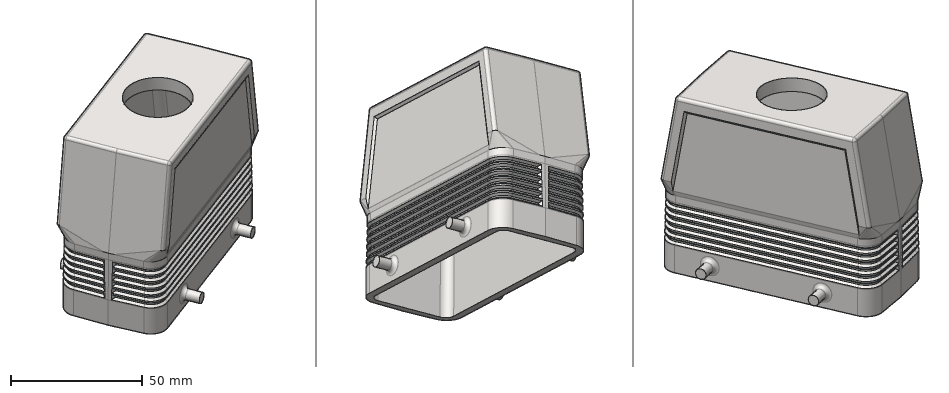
import cadquery as cq
import math

total_height = 76.0
base_height = 33.1
base_half_width = 21.5
base_half_length = 46.75
base_draft = 0.33
base_corner_radius = 7.0
base_end_slope = 0.035

rib_bottom = 11.8
rib_pitch = 3.0
groove_count = 6
groove_depth = 1.0
crest_height = 0.7
groove_floor_height = 0.7
rib_top = rib_bottom + groove_count * rib_pitch + crest_height / 2
flank_height = (rib_pitch - crest_height - groove_floor_height) / 2
spine_half_width = 1.3
spine_root_depth = 1.9

hood_half_width = 22.5
hood_bottom_half_length = 46.4
hood_top_half_length = 38.9
hood_end_slope = 0.015
hood_edge_radius = 1.4
flare_top = 39.3
flare_half_length = 45.7

panel_depth = 0.9
panel_top = 70.9
panel_top_half_length = 34.6
panel_bevel = 1.0

entry_diameter = 26.9
roof_thickness = 5.8
wall_thickness = 3.3
cavity_corner_radius = 3.7

pin_tip = 29.0
pin_radius = 2.2
pin_root_radius = 4.0
pin_flare = pin_root_radius - pin_radius
pin_height = 6.45
pin_half_spacing = 24.1

hood_taper = (hood_bottom_half_length - hood_top_half_length) / (total_height - base_height)


def outline(half_width, half_length, end_slope, radius=0):
    """Plan outline with peaked ends; half_length is measured on the centre line."""
    corner_y = half_length - end_slope * half_width
    points = [
        (half_width, -corner_y),
        (half_width, corner_y),
        (0, half_length),
        (-half_width, corner_y),
        (-half_width, -corner_y),
        (0, -half_length),
        (half_width, -corner_y),
    ]
    sketch = cq.Sketch().polygon(points)
    if radius:
        sketch = sketch.vertices(">X or <X").fillet(radius)
    return sketch.reset()


def base_outline(z, inset=0):
    rib_fraction = min(max((z - rib_bottom) / (rib_top - rib_bottom), 0), 1)
    shift = base_draft * rib_fraction + inset
    return outline(
        base_half_width - shift, base_half_length - shift, base_end_slope, base_corner_radius - inset
    )


def loft_between(lower, z_lower, upper, z_upper):
    raised = upper.moved(cq.Location(cq.Vector(0, 0, z_upper - z_lower)))
    return cq.Workplane("XY").workplane(offset=z_lower).placeSketch(lower, raised).loft(ruled=True)


def base_slab(z_lower, z_upper, inset_lower=0, inset_upper=0):
    return loft_between(
        base_outline(z_lower, inset_lower), z_lower, base_outline(z_upper, inset_upper), z_upper
    )


def make_base():
    first_groove = rib_bottom + crest_height / 2
    base = base_slab(0, rib_bottom)
    base = base.union(base_slab(rib_bottom, first_groove))
    for i in range(groove_count):
        groove_bottom = first_groove + i * rib_pitch
        floor_bottom = groove_bottom + flank_height
        floor_top = floor_bottom + groove_floor_height
        groove_top = floor_top + flank_height
        crest_top = groove_top + crest_height
        base = base.union(base_slab(groove_bottom, floor_bottom, 0, groove_depth))
        base = base.union(base_slab(floor_bottom, floor_top, groove_depth, groove_depth))
        base = base.union(base_slab(floor_top, groove_top, groove_depth, 0))
        base = base.union(base_slab(groove_top, crest_top))
    base = base.union(base_slab(rib_top, base_height))
    return base.union(make_spines())


def make_spines():
    """Upright strips on both ends, with 45 degree sides."""
    root_y = base_half_length - spine_root_depth
    root_half_width = spine_half_width + spine_root_depth
    spine = (
        cq.Workplane("XY")
        .workplane(offset=rib_bottom)
        .polyline(
            [
                (-root_half_width, root_y),
                (-spine_half_width, base_half_length),
                (spine_half_width, base_half_length),
                (root_half_width, root_y),
            ]
        )
        .close()
        .extrude(rib_top - rib_bottom)
    )
    return spine.union(spine.mirror("XZ")).intersect(base_slab(rib_bottom, rib_top))


def make_hood():
    bottom = outline(hood_half_width, hood_bottom_half_length, hood_end_slope)
    top = outline(hood_half_width, hood_top_half_length, hood_end_slope)
    hood = loft_between(bottom, base_height, top, total_height)
    hood = hood.edges(">Z or ((>X or <X) and (not |Y))").fillet(hood_edge_radius)

    flare = loft_between(
        base_outline(base_height),
        base_height,
        outline(hood_half_width, flare_half_length, base_end_slope, hood_edge_radius),
        flare_top,
    )
    above_flare = (
        cq.Workplane("XY")
        .workplane(offset=flare_top)
        .rect(2 * hood_half_width, 2 * base_half_length)
        .extrude(total_height - flare_top)
    )
    return hood.intersect(flare).union(hood.intersect(above_flare))


def panel_profile(x, inset):
    """Trapezoid parallel to the hood ends, reaching down into the flare."""
    top_z = panel_top - inset
    top_y = panel_top_half_length - inset * (1 - hood_taper)
    bottom_y = top_y + hood_taper * (top_z - base_height)
    return (
        cq.Workplane("YZ", origin=(x, 0, 0))
        .polyline([(-top_y, top_z), (top_y, top_z), (bottom_y, base_height), (-bottom_y, base_height)])
        .close()
        .wires()
        .val()
    )


def make_panel_recesses():
    face = panel_profile(hood_half_width, 0)
    floor = panel_profile(hood_half_width - panel_depth, panel_bevel)
    recess = cq.Workplane(cq.Solid.makeLoft([face, floor], True))
    return recess.union(recess.mirror("YZ"))


def make_cavity():
    half_width = base_half_width - wall_thickness
    bottom_y = base_half_length - wall_thickness
    ceiling = total_height - roof_thickness
    shoulder_y = hood_bottom_half_length - wall_thickness
    ceiling_y = shoulder_y - hood_taper * (ceiling - base_height)
    return (
        cq.Workplane("YZ", origin=(-half_width, 0, 0))
        .polyline(
            [
                (-bottom_y, 0),
                (bottom_y, 0),
                (shoulder_y, base_height),
                (ceiling_y, ceiling),
                (-ceiling_y, ceiling),
                (-shoulder_y, base_height),
            ]
        )
        .close()
        .extrude(2 * half_width)
        .edges("(<X or >X) and (not |Y)")
        .fillet(cavity_corner_radius)
    )


def make_pin():
    """Round pin along +X whose root flares into the base wall."""
    root_x = base_half_width - wall_thickness / 2
    arc_step = pin_flare * (1 - math.sqrt(0.5))
    return (
        cq.Workplane("XY")
        .moveTo(root_x, 0)
        .lineTo(root_x, pin_root_radius)
        .lineTo(base_half_width, pin_root_radius)
        .threePointArc(
            (base_half_width + arc_step, pin_radius + arc_step),
            (base_half_width + pin_flare, pin_radius),
        )
        .lineTo(pin_tip, pin_radius)
        .lineTo(pin_tip, 0)
        .close()
        .revolve(360, (0, 0, 0), (1, 0, 0))
    )


body = make_base().union(make_hood()).cut(make_panel_recesses()).cut(make_cavity())

entry = cq.Workplane("XY").circle(entry_diameter / 2).extrude(total_height)
body = body.cut(entry)

right_pin = make_pin()
for pin in (right_pin, right_pin.mirror("YZ")):
    for y in (-pin_half_spacing, pin_half_spacing):
        body = body.union(pin.translate((0, y, pin_height)))

result = body